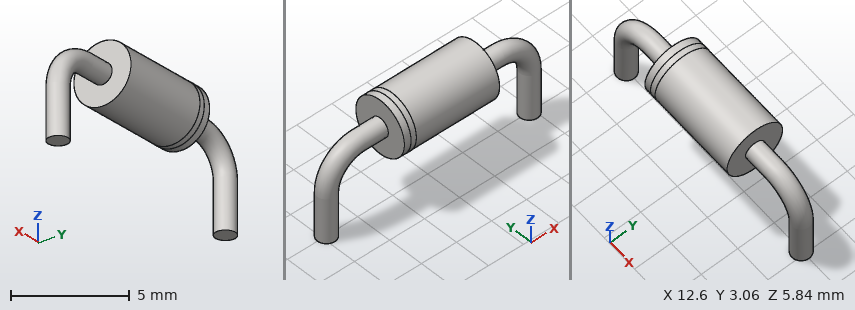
import cadquery as cq

overall_length = 12.59
overall_height = 5.84

body_diameter = 3.05
body_length = 5.44

band_diameter = 3.06
band_width = 0.3
band_offset = 0.38
band_depth = 0.06

lead_diameter = 1.03
bend_radius = 1.81

body_end = body_length / 2
band_start = -body_end + band_offset
groove_diameter = body_diameter - 2 * band_depth
lead_x = (overall_length - lead_diameter) / 2
lead_bottom = body_diameter / 2 - overall_height


def cylinder_along_x(start, length, diameter):
    """Cylinder on the X axis, running from start towards +X."""
    return cq.Workplane("YZ", origin=(start, 0, 0)).circle(diameter / 2).extrude(length)


def make_band():
    """Ring that fills the groove around the body."""
    core = cylinder_along_x(band_start, band_width, groove_diameter)
    return cylinder_along_x(band_start, band_width, band_diameter).cut(core)


def make_body(band):
    """Plain cylinder with a groove matching the band."""
    return cylinder_along_x(-body_end, body_length, body_diameter).cut(band)


def make_lead(side):
    """Wire from a body end face, bent down; side is -1 for -X and +1 for +X."""
    bend_start = lead_x - bend_radius
    path = (
        cq.Workplane("XZ")
        .moveTo(side * body_end, 0)
        .lineTo(side * bend_start, 0)
        .tangentArcPoint((side * lead_x, -bend_radius), relative=False)
        .lineTo(side * lead_x, lead_bottom)
    )
    profile = cq.Workplane("YZ", origin=(side * body_end, 0, 0)).circle(lead_diameter / 2)
    return profile.sweep(path)


band = make_band()
body = make_body(band)
leads = [make_lead(side) for side in (-1, 1)]

result = cq.Compound.makeCompound([body.val(), band.val(), *[lead.val() for lead in leads]])